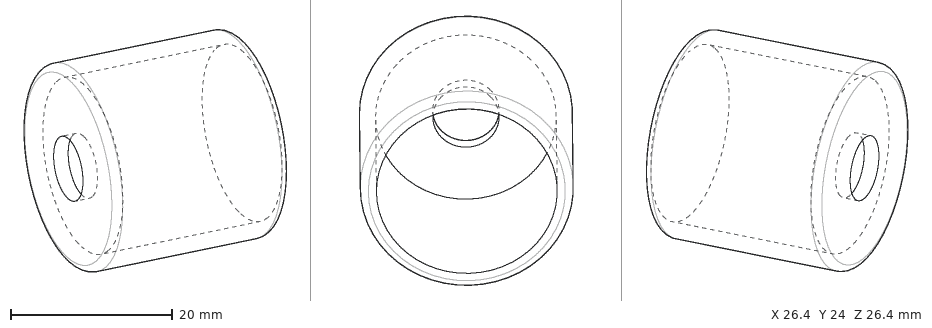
import cadquery as cq

outer_diameter = 26.4
length = 24.0
bore_diameter = 8.2
cavity_diameter = 22.4
end_wall = 2.0
edge_radius = 1.0


def cylinder_along_y(diameter, start, depth):
    """Solid cylinder running from Y = start toward +Y."""
    return cq.Workplane("XZ", origin=(0, start, 0)).circle(diameter / 2).extrude(-depth)


front = -length / 2
body = cylinder_along_y(outer_diameter, front, length)

body = body.faces("<Y or >Y").edges().fillet(edge_radius)

bore = cylinder_along_y(bore_diameter, front, length)
cavity = cylinder_along_y(cavity_diameter, front + end_wall, length - end_wall)

result = body.cut(bore).cut(cavity)